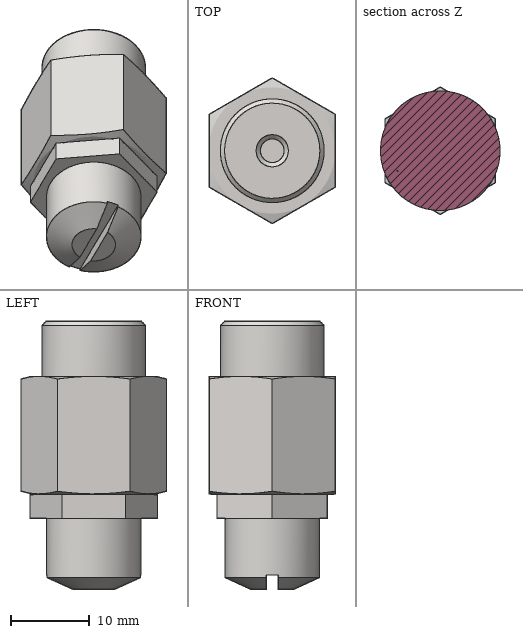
import cadquery as cq
import math

total_height = 34.0
small_hex_bottom = 9.0
large_hex_bottom = 12.0
large_hex_top = 27.0

large_hex_flats = 16.0
small_hex_flats = 14.0
corner_bevel_angle = 15.0
large_hex_bottom_face_diameter = 15.2

top_diameter = 13.15
top_chamfer = 0.55
bottom_diameter = 12.0
tip_diameter = 5.5
tip_height = 1.5

slot_width = 1.5
slot_depth = 1.8

hole_diameter = 3.0
hole_depth = 6.8
hole_chamfer = 0.55


def hex_prism(across_flats, bottom, top):
    """Hexagonal prism with corners on the Y axis."""
    corner_diameter = across_flats / math.cos(math.radians(30))
    return (
        cq.Workplane("XY")
        .workplane(offset=bottom)
        .transformed(rotate=(0, 0, 90))
        .polygon(6, corner_diameter)
        .extrude(top - bottom)
    )


def beveled_hex():
    """Large hexagon with its corners turned off conically at both ends."""
    flat_radius = large_hex_flats / 2
    corner_radius = flat_radius / math.cos(math.radians(30))
    bottom_radius = large_hex_bottom_face_diameter / 2
    bevel_slope = math.tan(math.radians(corner_bevel_angle))
    top_drop = (corner_radius - flat_radius) * bevel_slope
    bottom_rise = (corner_radius - bottom_radius) * bevel_slope
    envelope = (
        cq.Workplane("XZ")
        .moveTo(0, large_hex_bottom)
        .lineTo(bottom_radius, large_hex_bottom)
        .lineTo(corner_radius, large_hex_bottom + bottom_rise)
        .lineTo(corner_radius, large_hex_top - top_drop)
        .lineTo(flat_radius, large_hex_top)
        .lineTo(0, large_hex_top)
        .close()
        .revolve(360, (0, 0, 0), (0, 1, 0))
    )
    return hex_prism(large_hex_flats, large_hex_bottom, large_hex_top).intersect(envelope)


def top_spigot():
    """Cylinder above the large hexagon, chamfered at its end."""
    return (
        cq.Workplane("XY")
        .workplane(offset=large_hex_top)
        .circle(top_diameter / 2)
        .extrude(total_height - large_hex_top)
        .faces(">Z")
        .chamfer(top_chamfer)
    )


def bottom_spigot():
    """Cylinder below the small hexagon, ending in a blunt cone."""
    return (
        cq.Workplane("XZ")
        .lineTo(tip_diameter / 2, 0)
        .lineTo(bottom_diameter / 2, tip_height)
        .lineTo(bottom_diameter / 2, small_hex_bottom)
        .lineTo(0, small_hex_bottom)
        .close()
        .revolve(360, (0, 0, 0), (0, 1, 0))
    )


def tip_slot():
    """Cutter for the slot that runs along Y through the tip."""
    return cq.Workplane("XY").box(slot_width, bottom_diameter, slot_depth, centered=(True, True, False))


def top_hole():
    """Cutter for the flat-bottomed hole with its chamfered mouth."""
    hole_radius = hole_diameter / 2
    hole_floor = total_height - hole_depth
    return (
        cq.Workplane("XZ")
        .moveTo(0, hole_floor)
        .lineTo(hole_radius, hole_floor)
        .lineTo(hole_radius, total_height - hole_chamfer)
        .lineTo(hole_radius + hole_chamfer, total_height)
        .lineTo(0, total_height)
        .close()
        .revolve(360, (0, 0, 0), (0, 1, 0))
    )


result = (
    beveled_hex()
    .union(hex_prism(small_hex_flats, small_hex_bottom, large_hex_bottom))
    .union(top_spigot())
    .union(bottom_spigot())
    .cut(tip_slot())
    .cut(top_hole())
)